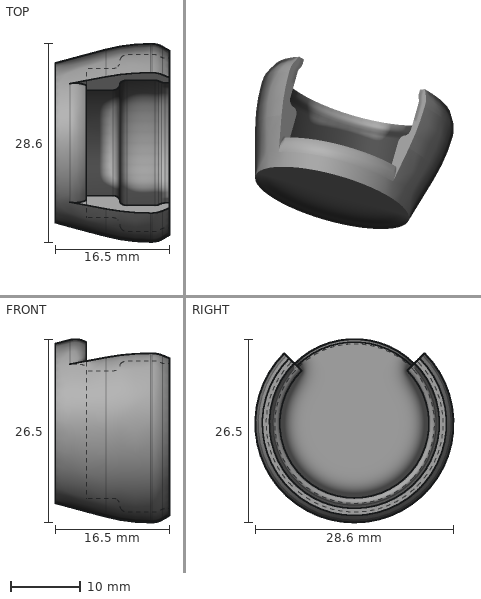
import cadquery as cq
import math


length = 16.5
closed_end_radius = 11.5
max_radius = 14.3
taper_angle = 15.0
crown_radius = 25.0
rim_angle = 30.0
rim_round_radius = 3.0
rim_round_start = 13.91

floor_x = 4.5
bore_radius = 21.5 / 2
mouth_radius = 24.5 / 2
bore_end = 8.3
step_round_radius = 1.0
groove_radius = bore_radius + 2 * step_round_radius
groove_end = 14.37
mouth_round_radius = 1.0
mouth_angle = 30.0

window_angle = 90.0
window_start = 2.12
lip_round_radius = 3.0
window_outer_radius = max_radius + 2.0


def polar(center, radius, angle):
    """Point on a circle, with the angle measured from +Y towards +X."""
    turn = math.radians(angle)
    return center[0] + radius * math.sin(turn), center[1] + radius * math.cos(turn)


def revolve_about_x(profile, angle=360.0):
    return profile.close().revolve(angle, (0, 0, 0), (1, 0, 0))


def cone_radius(x):
    """Outer radius of the tapered part at x."""
    return closed_end_radius + x * math.tan(math.radians(taper_angle))


def outer_body():
    crown_center_y = max_radius - crown_radius
    crown_start_y = polar((0, crown_center_y), crown_radius, -taper_angle)[1]
    crown_start_x = (crown_start_y - closed_end_radius) / math.tan(math.radians(taper_angle))
    crown_end_x = crown_start_x + crown_radius * math.sin(math.radians(taper_angle))
    crown_center = (crown_end_x, crown_center_y)

    rim_center = (rim_round_start, max_radius - rim_round_radius)
    rim_round_end = polar(rim_center, rim_round_radius, rim_angle)
    rim_drop = (length - rim_round_end[0]) * math.tan(math.radians(rim_angle))

    profile = (
        cq.Workplane("XY")
        .moveTo(0, 0)
        .lineTo(0, closed_end_radius)
        .lineTo(crown_start_x, crown_start_y)
        .threePointArc(polar(crown_center, crown_radius, -taper_angle / 2), (crown_end_x, max_radius))
        .lineTo(rim_round_start, max_radius)
        .threePointArc(polar(rim_center, rim_round_radius, rim_angle / 2), rim_round_end)
        .lineTo(length, rim_round_end[1] - rim_drop)
        .lineTo(length, 0)
    )
    return revolve_about_x(profile)


def cavity():
    step_inner_center = (bore_end, bore_radius + step_round_radius)
    step_x = bore_end + step_round_radius
    step_outer_center = (step_x + step_round_radius, groove_radius - step_round_radius)

    groove_center = (groove_end, groove_radius - mouth_round_radius)
    slope_start = polar(groove_center, mouth_round_radius, mouth_angle)
    arc_drop = groove_radius - slope_start[1]
    slope_end_y = mouth_radius + arc_drop
    slope_run = (slope_start[1] - slope_end_y) / math.tan(math.radians(mouth_angle))
    slope_end = (slope_start[0] + slope_run, slope_end_y)
    mouth_start = slope_end[0] + mouth_round_radius * math.sin(math.radians(mouth_angle))
    mouth_center = (mouth_start, mouth_radius + mouth_round_radius)

    profile = (
        cq.Workplane("XY")
        .moveTo(floor_x, 0)
        .lineTo(floor_x, bore_radius)
        .lineTo(bore_end, bore_radius)
        .threePointArc(polar(step_inner_center, step_round_radius, 135), (step_x, step_inner_center[1]))
        .threePointArc(
            polar(step_outer_center, step_round_radius, -45), (step_outer_center[0], groove_radius)
        )
        .lineTo(groove_end, groove_radius)
        .threePointArc(polar(groove_center, mouth_round_radius, mouth_angle / 2), slope_start)
        .lineTo(*slope_end)
        .threePointArc(
            polar(mouth_center, mouth_round_radius, 180 + mouth_angle / 2), (mouth_start, mouth_radius)
        )
        .lineTo(length, mouth_radius)
        .lineTo(length, 0)
    )
    return revolve_about_x(profile)


def window():
    lip_start = (window_start, cone_radius(window_start))
    lip_center = polar(lip_start, lip_round_radius, 180 - taper_angle)
    lip_end = polar(lip_center, lip_round_radius, rim_angle)
    lip_drop = (floor_x - lip_end[0]) * math.tan(math.radians(rim_angle))

    profile = (
        cq.Workplane("XY")
        .moveTo(*lip_start)
        .threePointArc(polar(lip_center, lip_round_radius, 0), lip_end)
        .lineTo(floor_x, lip_end[1] - lip_drop)
        .lineTo(floor_x, 0)
        .lineTo(length, 0)
        .lineTo(length, window_outer_radius)
        .lineTo(window_start, window_outer_radius)
    )
    sector = revolve_about_x(profile, window_angle)
    return sector.rotate((0, 0, 0), (1, 0, 0), 90 - window_angle / 2)


result = outer_body().cut(cavity()).cut(window())